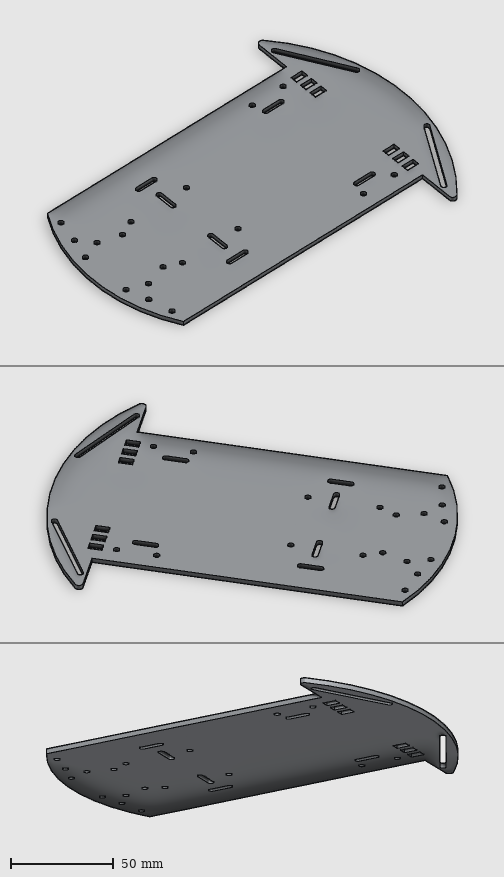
import cadquery as cq
import math

length = 199.4
thickness = 2.5
body_width = 100.0
tail_radius = 97.5
nose_width = 144.0
nose_radius = 106.5
nose_base_y = 68.5
nose_tip_fillet = 2.0

hole_diameter = 3.0
slot_width = 3.0
short_slot_length = 13.0
long_slot_length = 45.0
long_slot_angle = -30.0
window_width = 4.0
window_height = 7.0
window_pitch = 7.0
window_count = 3

outer_x = 40.9
slot_x = 33.5
tail_x = 27.3
middle_x = 19.0
inner_x = 15.0
rear_slot_y = -36.5

hole_points = [
    (outer_x, 58.5),
    (outer_x, 38.5),
    (middle_x, -23.3),
    (middle_x, -59.2),
    (inner_x, -68.2),
    (middle_x, -81.1),
    (outer_x, -85.1),
    (tail_x, -88.3),
    (inner_x, -92.1),
]
lengthwise_slot_points = [(slot_x, 45.7), (slot_x, rear_slot_y)]
crosswise_slot_points = [(middle_x, rear_slot_y)]
long_slot_points = [(44.0, 82.1)]
window_y = 68.8
window_points = [(outer_x - i * window_pitch, window_y) for i in range(window_count)]

plate_bottom = cq.Workplane("XY").workplane(offset=-thickness / 2)


def make_body():
    """Straight-sided body ending in the tail arc, running up under the nose."""
    half_width = body_width / 2
    tail_rise = tail_radius - math.sqrt(tail_radius**2 - half_width**2)
    tail_end_y = -length / 2
    tail_corner_y = tail_end_y + tail_rise
    return (
        plate_bottom.moveTo(half_width, nose_base_y)
        .lineTo(half_width, tail_corner_y)
        .threePointArc((0, tail_end_y), (-half_width, tail_corner_y))
        .lineTo(-half_width, nose_base_y)
        .close()
        .extrude(thickness)
    )


def make_nose():
    """Arched nose with short straight sides and rounded tip corners."""
    half_width = nose_width / 2
    nose_end_y = length / 2
    nose_drop = nose_radius - math.sqrt(nose_radius**2 - half_width**2)
    nose_corner_y = nose_end_y - nose_drop
    return (
        plate_bottom.moveTo(-half_width, nose_base_y)
        .lineTo(-half_width, nose_corner_y)
        .threePointArc((0, nose_end_y), (half_width, nose_corner_y))
        .lineTo(half_width, nose_base_y)
        .close()
        .extrude(thickness)
        .edges("|Z")
        .fillet(nose_tip_fillet)
    )


def mirrored(points):
    """Plane positioned on the given points and on their mirror images."""
    return plate_bottom.pushPoints(points + [(-x, y) for x, y in points])


def cut_slots(plate, points, slot_length, angle):
    """Through slots, with the angle also mirrored on the -X side."""
    right = plate_bottom.pushPoints(points).slot2D(slot_length, slot_width, angle).extrude(thickness)
    return plate.cut(right).cut(right.mirror("YZ"))


result = make_body().union(make_nose())
result = result.cut(mirrored(hole_points).circle(hole_diameter / 2).extrude(thickness))
result = result.cut(mirrored(window_points).rect(window_width, window_height).extrude(thickness))
result = cut_slots(result, lengthwise_slot_points, short_slot_length, 90)
result = cut_slots(result, crosswise_slot_points, short_slot_length, 0)
result = cut_slots(result, long_slot_points, long_slot_length, long_slot_angle)